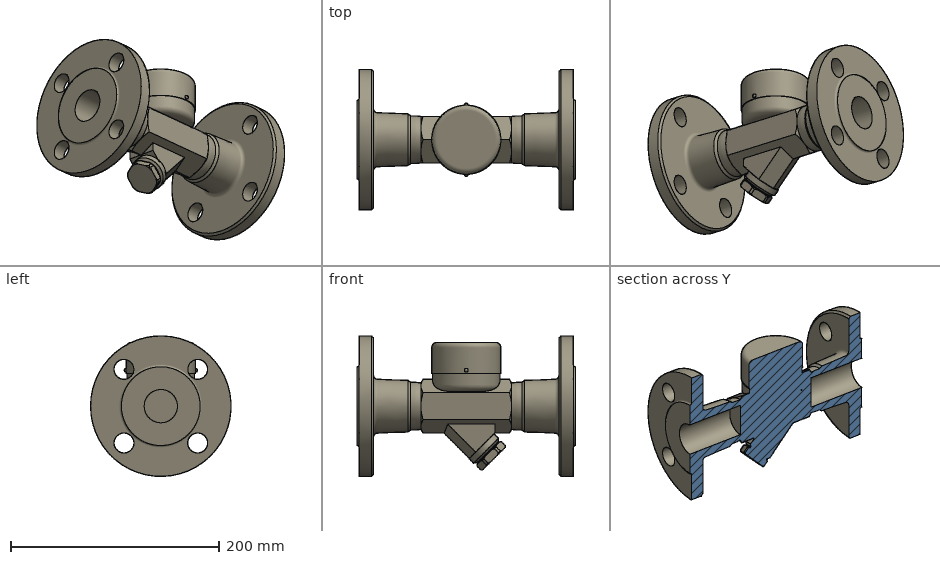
import cadquery as cq
import math

overall_length = 210.0
flange_diameter = 135.0
gasket_face_diameter = 75.5
gasket_face_height = 2.0
flange_thickness = 14.0
flange_back_chamfer = 2.0
bolt_hole_diameter = 19.0
bolt_circle_diameter = 100.0
bolt_hole_count = 4
bolt_start_angle = 45
bore_diameter = 32.0

hub_fillet_radius = 3.5
hub_large_radius = 26.0
hub_small_radius = 25.0
hub_end = 49.0
hub_step_length = 2.7
neck_diameter = 46.0
neck_length = 5.0
neck_end_radius = 22.5

body_length = 87.2
body_across_flats = 45.0
body_chamfer_length = 2.0
body_chamfer_radius = 22.3

cap_diameter = 66.5
cap_top = 61.3
cap_top_fillet = 5.2
cap_step_height = 31.5
cap_lower_diameter = 65.0
cap_bottom = 14.3
cap_bottom_fillet = 5.7
cap_pip_radius = 1.9
cap_pip_height = 34.5

branch_axis_offset = 16.8
branch_width = 29.8
branch_depth_below_axis = 16.5
branch_length = 37.5
branch_right_limit = 27.7
collar_diameter = 34.0
collar_length = 6.0
collar_taper_length = 2.0
groove_diameter = 29.0
groove_length = 1.0
plug_diameter = 33.2
plug_across_flats = 30.0
plug_length = 7.5
plug_chamfer = 1.0

body_circumradius = body_across_flats / math.sqrt(3)
flange_back = gasket_face_height + flange_thickness
bore_depth = (overall_length - body_length) / 2


def end_fitting():
    """Revolved flange, hub and neck at the -X end, with its bolt holes and blind bore."""
    face = -overall_length / 2
    flange_radius = flange_diameter / 2
    gasket_radius = gasket_face_diameter / 2
    rim_root = gasket_radius + gasket_face_height
    hub_root = hub_large_radius + hub_fillet_radius
    hub_start = flange_back + hub_fillet_radius
    neck_start = hub_end + hub_step_length
    neck_end = neck_start + neck_length
    neck_radius = neck_diameter / 2

    profile = (
        cq.Workplane("XY")
        .moveTo(face, 0)
        .lineTo(face, gasket_radius)
        .radiusArc((face + gasket_face_height, rim_root), -gasket_face_height)
        .lineTo(face + gasket_face_height, flange_radius)
        .lineTo(face + flange_back - flange_back_chamfer, flange_radius)
        .lineTo(face + flange_back, flange_radius - flange_back_chamfer)
        .lineTo(face + flange_back, hub_root)
        .radiusArc((face + hub_start, hub_large_radius), -hub_fillet_radius)
        .lineTo(face + hub_end, hub_small_radius)
        .lineTo(face + neck_start, neck_radius)
        .lineTo(face + neck_end, neck_radius)
        .lineTo(face + bore_depth, neck_end_radius)
        .lineTo(0, neck_end_radius)
        .lineTo(0, 0)
        .close()
    )
    fitting = profile.revolve(360, (0, 0, 0), (1, 0, 0))

    face_plane = cq.Workplane("YZ", origin=(face, 0, 0))
    bolt_holes = (
        face_plane.polarArray(bolt_circle_diameter / 2, bolt_start_angle, 360, bolt_hole_count)
        .circle(bolt_hole_diameter / 2)
        .extrude(flange_back)
    )
    bore = face_plane.circle(bore_diameter / 2).extrude(bore_depth)
    return fitting.cut(bolt_holes).cut(bore)


def hex_body():
    """Hexagonal bar whose end corners are turned to a cone."""
    half = body_length / 2
    bar = (
        cq.Workplane("YZ", origin=(-half, 0, 0))
        .transformed(rotate=(0, 0, 90))
        .polygon(6, 2 * body_circumradius)
        .extrude(body_length)
    )
    turned = (
        cq.Workplane("XY")
        .polyline(
            [
                (-half, 0),
                (-half, body_chamfer_radius),
                (-half + body_chamfer_length, body_circumradius),
                (half - body_chamfer_length, body_circumradius),
                (half, body_chamfer_radius),
                (half, 0),
            ]
        )
        .close()
        .revolve(360, (0, 0, 0), (1, 0, 0))
    )
    return bar.intersect(turned)


def cap():
    """Stepped round cap with two small pips on its sides."""
    lower = (
        cq.Workplane("XY", origin=(0, 0, cap_bottom))
        .circle(cap_lower_diameter / 2)
        .extrude(cap_step_height - cap_bottom)
        .faces("<Z")
        .edges()
        .fillet(cap_bottom_fillet)
    )
    upper = (
        cq.Workplane("XY", origin=(0, 0, cap_step_height))
        .circle(cap_diameter / 2)
        .extrude(cap_top - cap_step_height)
        .faces(">Z")
        .edges()
        .fillet(cap_top_fillet)
    )
    pips = (
        cq.Workplane("XY", origin=(0, 0, cap_pip_height))
        .pushPoints([(0, -cap_diameter / 2), (0, cap_diameter / 2)])
        .sphere(cap_pip_radius)
    )
    return lower.union(upper).union(pips)


def branch_plane(distance):
    """Plane across the branch; local X points up and away from the branch's underside."""
    shift = -branch_axis_offset / math.sqrt(2)
    along = distance / math.sqrt(2)
    plane = cq.Plane(origin=(shift + along, 0, shift - along), xDir=(1, 0, 1), normal=(1, 0, -1))
    return cq.Workplane(plane)


def branch():
    """Branch with a V-shaped underside, running up into the body and trimmed by a vertical plane."""
    half_width = branch_width / 2
    side_depth = branch_depth_below_axis - half_width / math.sqrt(3)
    reach_into_body = branch_length
    prism = (
        branch_plane(0)
        .polyline(
            [
                (-branch_depth_below_axis, 0),
                (-side_depth, half_width),
                (reach_into_body, half_width),
                (reach_into_body, -half_width),
                (-side_depth, -half_width),
            ]
        )
        .close()
        .extrude(branch_length)
    )
    envelope = cq.Workplane("XY").box(overall_length, overall_length, overall_length)
    envelope = envelope.translate((branch_right_limit - overall_length / 2, 0, -overall_length / 2))
    return prism.intersect(envelope)


def plug():
    """Tapered collar, groove and hexagonal plug head at the end of the branch."""
    taper_start = branch_length + collar_length
    groove_start = taper_start + collar_taper_length
    head_start = groove_start + groove_length
    collar = branch_plane(branch_length).circle(collar_diameter / 2).extrude(collar_length)
    taper = (
        branch_plane(taper_start)
        .circle(collar_diameter / 2)
        .workplane(offset=collar_taper_length)
        .circle(groove_diameter / 2)
        .loft()
    )
    groove = branch_plane(groove_start).circle(groove_diameter / 2).extrude(groove_length)
    head_round = (
        branch_plane(head_start)
        .circle(plug_diameter / 2)
        .extrude(plug_length)
        .edges()
        .chamfer(plug_chamfer)
    )
    head_hex = (
        branch_plane(head_start)
        .polygon(6, 2 * plug_across_flats / math.sqrt(3))
        .extrude(plug_length)
    )
    return collar.union(taper).union(groove).union(head_round.intersect(head_hex))


inlet = end_fitting()
outlet = inlet.mirror("YZ")
flow_line = inlet.union(outlet).union(hex_body())
result = flow_line.union(cap()).union(branch()).union(plug())